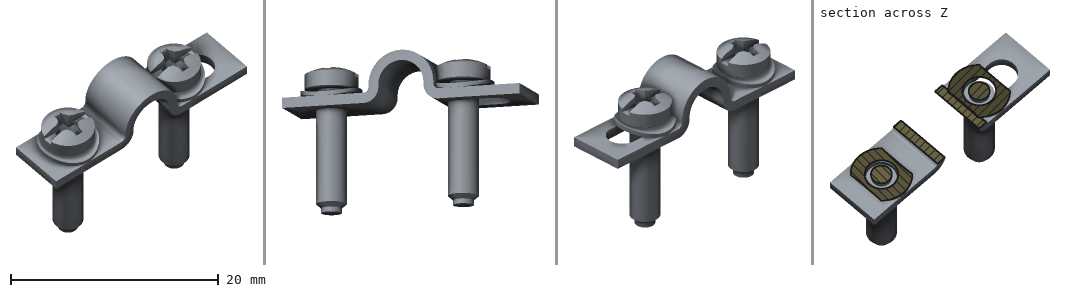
import cadquery as cq
import math

STRAP_LENGTH = 24.0
STRAP_WIDTH = 6.0
STRAP_THICKNESS = 1.0
ARCH_TOP = 5.0
ARCH_OUTER_RADIUS = 3.3
BEND_INNER_RADIUS = 0.5

HOLE_DIAMETER = 3.22
ROUND_HOLE_Y = -8.0
SLOT_INNER_Y = 5.35
SLOT_END_Y = 10.0
SCREW_POSITIONS = (ROUND_HOLE_Y, SLOT_INNER_Y)

WASHER_DIAMETER = STRAP_WIDTH
WASHER_HOLE_DIAMETER = 3.2
WASHER_THICKNESS = 0.4
WASHER_BEND_RADIUS = 7.92

SHANK_DIAMETER = 3.0
SHANK_BOTTOM = -10.0
SHANK_TOP = 0.72
TIP_DIAMETER = 2.02
TIP_LENGTH = 0.48
TIP_CONE_HEIGHT = 0.43
NECK_DIAMETER = 2.66
NECK_LENGTH = 0.3
UNDERCUT_DIAMETER = 2.02
UNDERCUT_CONE_HEIGHT = 0.48

HEAD_DIAMETER = 5.18
HEAD_BOTTOM = 2.02
HEAD_TOP = 4.22
HEAD_SIDE_TOP = 3.55
DOME_RADIUS = 5.28
HEAD_EDGE_CHAMFER = 0.07
HEAD_SLOT_WIDTH = 0.95
HEAD_SLOT_DEPTH = 1.05

WING_WIDTH = 0.85
WING_FLOOR_REACH = 1.13
WING_FLOOR_Z = 2.83
WING_TOP_REACH = 1.63
WING_TOP_Z = 3.82
LEAD_IN_REACH = 1.8
LEAD_IN_Z = 3.9
CORE_FLOOR_REACH = 0.86
CORE_FLOOR_CORNER = 0.5
CORE_TOP_REACH = 1.22
CORE_TOP_CORNER = 0.67
RECESS_APEX_Z = 2.38


def make_strap():
    """Bent strip with a round hole and a slot."""
    half_length = STRAP_LENGTH / 2
    arch_inner_radius = ARCH_OUTER_RADIUS - STRAP_THICKNESS
    arch_center_z = ARCH_TOP - ARCH_OUTER_RADIUS
    bend_outer_radius = BEND_INNER_RADIUS + STRAP_THICKNESS
    bend_center_y = ARCH_OUTER_RADIUS + BEND_INNER_RADIUS
    bend_center_z = STRAP_THICKNESS + BEND_INNER_RADIUS
    bend_outer_middle = bend_outer_radius * math.sqrt(0.5)
    bend_inner_middle = BEND_INNER_RADIUS * math.sqrt(0.5)

    profile = (
        cq.Workplane("YZ", origin=(-STRAP_WIDTH / 2, 0, 0))
        .moveTo(-half_length, 0)
        .lineTo(-bend_center_y, 0)
        .threePointArc(
            (-bend_center_y + bend_outer_middle, bend_center_z - bend_outer_middle),
            (-arch_inner_radius, bend_center_z),
        )
        .lineTo(-arch_inner_radius, arch_center_z)
        .threePointArc(
            (0, arch_center_z + arch_inner_radius),
            (arch_inner_radius, arch_center_z),
        )
        .lineTo(arch_inner_radius, bend_center_z)
        .threePointArc(
            (bend_center_y - bend_outer_middle, bend_center_z - bend_outer_middle),
            (bend_center_y, 0),
        )
        .lineTo(half_length, 0)
        .lineTo(half_length, STRAP_THICKNESS)
        .lineTo(bend_center_y, STRAP_THICKNESS)
        .threePointArc(
            (bend_center_y - bend_inner_middle, bend_center_z - bend_inner_middle),
            (ARCH_OUTER_RADIUS, bend_center_z),
        )
        .lineTo(ARCH_OUTER_RADIUS, arch_center_z)
        .threePointArc((0, ARCH_TOP), (-ARCH_OUTER_RADIUS, arch_center_z))
        .lineTo(-ARCH_OUTER_RADIUS, bend_center_z)
        .threePointArc(
            (-bend_center_y + bend_inner_middle, bend_center_z - bend_inner_middle),
            (-bend_center_y, STRAP_THICKNESS),
        )
        .lineTo(-half_length, STRAP_THICKNESS)
        .close()
    )
    strap = profile.extrude(STRAP_WIDTH)

    hole_radius = HOLE_DIAMETER / 2
    round_hole = cq.Workplane("XY").center(0, ROUND_HOLE_Y).circle(hole_radius).extrude(STRAP_THICKNESS)
    slot_length = SLOT_END_Y - SLOT_INNER_Y + hole_radius
    slot_center_y = SLOT_END_Y - slot_length / 2
    slot = (
        cq.Workplane("XY")
        .center(0, slot_center_y)
        .slot2D(slot_length, HOLE_DIAMETER, 90)
        .extrude(ARCH_TOP)
    )
    return strap.cut(round_hole).cut(slot)


def make_washer(y):
    """Bent washer around the screw at the given Y."""
    outer_bend_radius = WASHER_BEND_RADIUS + WASHER_THICKNESS
    bend_axis_z = STRAP_THICKNESS + outer_bend_radius
    bent_sheet = (
        cq.Workplane("YZ", origin=(-WASHER_DIAMETER / 2, y, bend_axis_z))
        .circle(outer_bend_radius)
        .circle(WASHER_BEND_RADIUS)
        .extrude(WASHER_DIAMETER)
    )
    ring = (
        cq.Workplane("XY", origin=(0, y, STRAP_THICKNESS))
        .circle(WASHER_DIAMETER / 2)
        .circle(WASHER_HOLE_DIAMETER / 2)
        .extrude(WASHER_BEND_RADIUS)
    )
    return bent_sheet.intersect(ring)


def make_screw_blank():
    """Screw turned about Z, without the slot and recess in its head."""
    head_radius = HEAD_DIAMETER / 2
    chamfered_radius = head_radius - HEAD_EDGE_CHAMFER
    neck_bottom = HEAD_BOTTOM - NECK_LENGTH
    tip_top = SHANK_BOTTOM + TIP_LENGTH
    dome_center_z = HEAD_TOP - DOME_RADIUS
    dome_edge_z = dome_center_z + math.sqrt(DOME_RADIUS**2 - chamfered_radius**2)
    dome_middle_radius = chamfered_radius / 2
    dome_middle_z = dome_center_z + math.sqrt(DOME_RADIUS**2 - dome_middle_radius**2)
    return (
        cq.Workplane("XZ")
        .moveTo(0, SHANK_BOTTOM)
        .lineTo(TIP_DIAMETER / 2, SHANK_BOTTOM)
        .lineTo(TIP_DIAMETER / 2, tip_top)
        .lineTo(SHANK_DIAMETER / 2, tip_top + TIP_CONE_HEIGHT)
        .lineTo(SHANK_DIAMETER / 2, SHANK_TOP)
        .lineTo(UNDERCUT_DIAMETER / 2, SHANK_TOP)
        .lineTo(UNDERCUT_DIAMETER / 2, neck_bottom - UNDERCUT_CONE_HEIGHT)
        .lineTo(NECK_DIAMETER / 2, neck_bottom)
        .lineTo(NECK_DIAMETER / 2, HEAD_BOTTOM)
        .lineTo(chamfered_radius, HEAD_BOTTOM)
        .lineTo(head_radius, HEAD_BOTTOM + HEAD_EDGE_CHAMFER)
        .lineTo(head_radius, HEAD_SIDE_TOP)
        .lineTo(chamfered_radius, dome_edge_z)
        .threePointArc((dome_middle_radius, dome_middle_z), (0, HEAD_TOP))
        .close()
        .revolve(360, (0, 0, 0), (0, 1, 0))
    )


def make_wing_pair():
    """Two opposite wings of the cross recess, along X, from below the conical floor to the head top."""
    return (
        cq.Workplane("XZ", origin=(0, WING_WIDTH / 2, 0))
        .moveTo(-WING_FLOOR_REACH, RECESS_APEX_Z)
        .lineTo(WING_FLOOR_REACH, RECESS_APEX_Z)
        .lineTo(WING_FLOOR_REACH, WING_FLOOR_Z)
        .lineTo(WING_TOP_REACH, WING_TOP_Z)
        .lineTo(LEAD_IN_REACH, LEAD_IN_Z)
        .lineTo(LEAD_IN_REACH, HEAD_TOP)
        .lineTo(-LEAD_IN_REACH, HEAD_TOP)
        .lineTo(-LEAD_IN_REACH, LEAD_IN_Z)
        .lineTo(-WING_TOP_REACH, WING_TOP_Z)
        .lineTo(-WING_FLOOR_REACH, WING_FLOOR_Z)
        .close()
        .extrude(WING_WIDTH)
    )


def core_outline(reach, corner):
    """Four-armed star: arm ends as wide as the wings, inner corners at (corner, corner) in each quadrant."""
    arm = WING_WIDTH / 2
    quadrant = [(reach, arm), (corner, corner), (arm, reach)]
    points = []
    for _ in range(4):
        points.extend(quadrant)
        quadrant = [(-y, x) for x, y in quadrant]
    return points


def make_recess():
    """Cross recess: wings and a tapered star-shaped core, ending at a conical floor."""
    wings = make_wing_pair()
    cross_wings = wings.rotate((0, 0, 0), (0, 0, 1), 90)
    core = (
        cq.Workplane("XY", origin=(0, 0, RECESS_APEX_Z))
        .polyline(core_outline(CORE_FLOOR_REACH, CORE_FLOOR_CORNER))
        .close()
        .workplane(offset=HEAD_TOP - RECESS_APEX_Z)
        .polyline(core_outline(CORE_TOP_REACH, CORE_TOP_CORNER))
        .close()
        .loft(ruled=True)
    )
    floor_slope = (WING_FLOOR_Z - RECESS_APEX_Z) / WING_FLOOR_REACH
    space_above_floor = (
        cq.Workplane("XZ")
        .moveTo(0, RECESS_APEX_Z)
        .lineTo(HEAD_DIAMETER / 2, RECESS_APEX_Z + floor_slope * HEAD_DIAMETER / 2)
        .lineTo(HEAD_DIAMETER / 2, HEAD_TOP)
        .lineTo(0, HEAD_TOP)
        .close()
        .revolve(360, (0, 0, 0), (0, 1, 0))
    )
    return wings.union(cross_wings).union(core).intersect(space_above_floor)


def make_screw(y):
    """Screw at the given Y, with a slot along Y and a cross recess in its head."""
    slot = (
        cq.Workplane("XY", origin=(0, 0, HEAD_TOP - HEAD_SLOT_DEPTH))
        .rect(HEAD_SLOT_WIDTH, HEAD_DIAMETER)
        .extrude(HEAD_SLOT_DEPTH)
    )
    return make_screw_blank().cut(slot).cut(make_recess()).translate((0, y, 0))


washers = [make_washer(y) for y in SCREW_POSITIONS]
screws = [make_screw(y) for y in SCREW_POSITIONS]

strap = make_strap()
for fitted_body in (washers[1], screws[1]):
    strap = strap.cut(fitted_body)

result = cq.Compound.makeCompound(
    [
        strap.solids().val(),
        *[washer.solids().val() for washer in washers],
        *[screw.solids().val() for screw in screws],
    ]
)